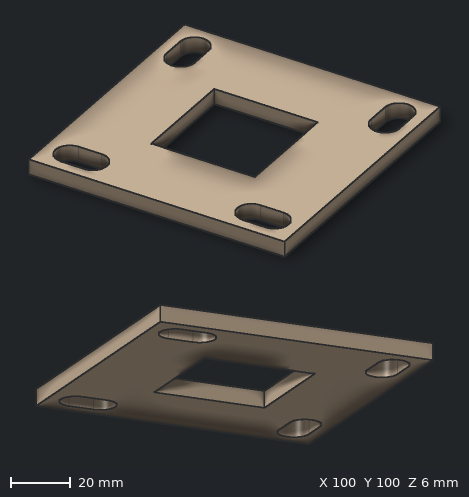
import cadquery as cq

plate_side = 100.0
plate_thickness = 6.0

window_side = 40.4

slot_width = 11.0
slot_length = 20.0
slot_end_inset = 10.0

slot_across = plate_side / 2 - slot_end_inset
slot_along = slot_across - (slot_length - slot_width) / 2


def slot_cutter(centers, angle):
    """Slots through the plate thickness, with their long axis at the given angle to X."""
    return (
        cq.Workplane("XY")
        .pushPoints(centers)
        .slot2D(slot_length, slot_width, angle)
        .extrude(plate_thickness)
    )


plate = cq.Workplane("XY").rect(plate_side, plate_side).extrude(plate_thickness)
window = cq.Workplane("XY").rect(window_side, window_side).extrude(plate_thickness)

back_slots = slot_cutter([(side * slot_across, slot_along) for side in (-1, 1)], 90)
front_slots = slot_cutter([(side * slot_along, -slot_across) for side in (-1, 1)], 0)

result = plate.cut(window).cut(back_slots).cut(front_slots)